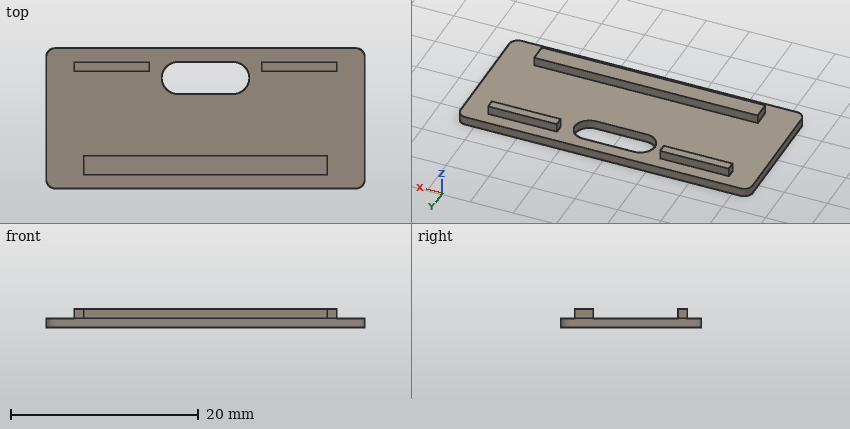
import cadquery as cq

plate_length = 34.0
plate_width = 15.0
plate_thickness = 1.0
corner_radius = 1.0

rib_height = 1.0
edge_margin = 1.5
short_rib_length = 8.0
short_rib_width = 1.0
short_rib_end_margin = 3.0
long_rib_length = 26.0
long_rib_width = 2.0

slot_length = 9.3
slot_width = 3.4

back_line = plate_width / 2 - edge_margin
front_line = -plate_width / 2 + edge_margin


def make_plate():
    """Flat plate with its underside on Z = 0 and rounded vertical corners."""
    plate = cq.Workplane("XY").box(
        plate_length, plate_width, plate_thickness, centered=(True, True, False)
    )
    return plate.edges("|Z").fillet(corner_radius)


def make_rib(length, width, center_x, center_y):
    """Rectangular rib resting on the top face of the plate."""
    return (
        cq.Workplane("XY", origin=(center_x, center_y, plate_thickness))
        .rect(length, width)
        .extrude(rib_height)
    )


def make_slot_cutter():
    """Round-ended slot, level with the back of the short ribs."""
    return (
        cq.Workplane("XY", origin=(0, back_line - slot_width / 2, 0))
        .slot2D(slot_length, slot_width)
        .extrude(plate_thickness)
    )


result = make_plate().cut(make_slot_cutter())

short_rib_x = plate_length / 2 - short_rib_end_margin - short_rib_length / 2
short_rib_y = back_line - short_rib_width / 2
for side in (-1, 1):
    result = result.union(make_rib(short_rib_length, short_rib_width, side * short_rib_x, short_rib_y))

long_rib_y = front_line + long_rib_width / 2
result = result.union(make_rib(long_rib_length, long_rib_width, 0, long_rib_y))